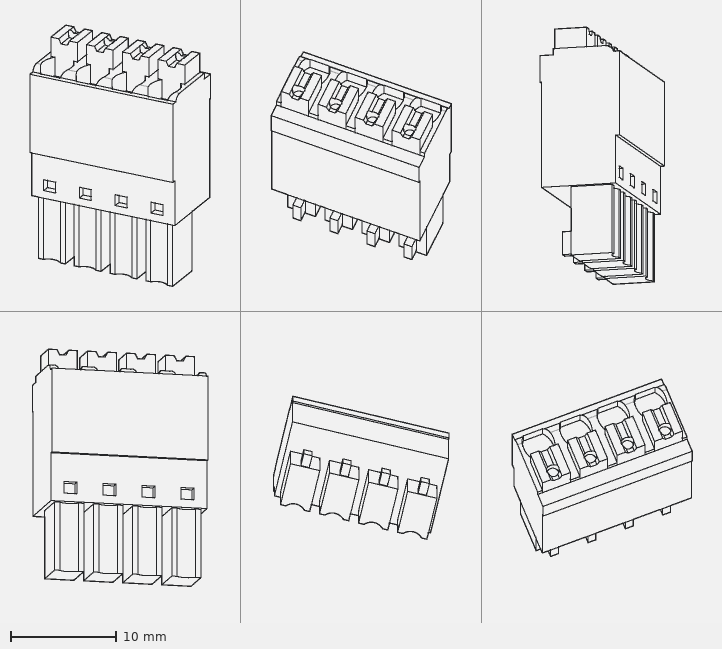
import cadquery as cq


POLE_COUNT = 4
WIDTH = 15.25
PITCH = WIDTH / POLE_COUNT
HEIGHT = 22.0

DEPTH = 7.9
HOUSING_BOTTOM = 6.62
FRONT_STEP_Z = 11.26
FRONT_STEP = 0.4
SHOULDER_Z = 19.4
FRONT_LEDGE = 0.6
CROWN_TOP = 20.0
CROWN_RADIUS = 0.8
BACK_LEDGE = 1.32
BACK_LIP = 0.15
BACK_LIP_Z = 16.83

ENTRY_END_WIDTH = 1.98
ENTRY_MIDDLE_WIDTH = 3.01
ENTRY_FRONT_Y = 0.55
ENTRY_FLOOR = 18.05

WINDOW_WIDTH = 1.25
WINDOW_HEIGHT = 1.12
WINDOW_BOTTOM = 7.41
WINDOW_DEPTH = 0.8

PRONG_WIDTH = 2.85
PRONG_FRONT_Y = 0.88
PRONG_DEPTH = 4.07
FLUTE_WIDTH = 1.8
FLUTE_DEPTH = 0.4
KEY_WIDTH = 0.81
KEY_DEPTH = 1.17
KEY_BOTTOM = 0.3
KEY_HEIGHT = 2.22

PUSHER_WIDTH = 2.84
PUSHER_DEPTH = 3.15
PUSHER_BACK_Y = DEPTH - BACK_LEDGE
PUSHER_FRONT_Y = PUSHER_BACK_Y - PUSHER_DEPTH
NOTCH_TOP_WIDTH = 1.15
NOTCH_FLOOR_WIDTH = 0.64
NOTCH_DEPTH = 0.48
PROBE_DIAMETER = 1.19
PROBE_CENTER_Y = 5.63
PROBE_DEPTH = 1.32

POLE_X = [(pole - (POLE_COUNT - 1) / 2) * PITCH for pole in range(POLE_COUNT)]


def block(x, width, y_front, y_back, z_bottom, z_top):
    """Box centred on x, between the given Y and Z limits."""
    return (
        cq.Workplane("XY", origin=(x, 0, z_bottom))
        .moveTo(0, (y_front + y_back) / 2)
        .rect(width, y_back - y_front)
        .extrude(z_top - z_bottom)
    )


def housing_shell():
    lower = block(0, WIDTH, FRONT_STEP, DEPTH - BACK_LIP, HOUSING_BOTTOM, SHOULDER_Z)
    front_band = block(0, WIDTH, 0, FRONT_STEP, FRONT_STEP_Z, SHOULDER_Z)
    back_lip = block(0, WIDTH, DEPTH - BACK_LIP, DEPTH, BACK_LIP_Z, SHOULDER_Z)
    return lower.union(front_band).union(back_lip).union(crown())


def crown():
    """Raised top of the housing, rounded along its front edge and sunk into the shoulder."""
    raised = block(0, WIDTH, FRONT_LEDGE, PUSHER_BACK_Y, ENTRY_FLOOR, CROWN_TOP)
    rounded = raised.faces(">Z").edges("<Y").fillet(CROWN_RADIUS)
    return rounded.intersect(block(0, WIDTH, 0, DEPTH, SHOULDER_Z, CROWN_TOP))


def wire_entry(x):
    """Barrel-shaped pocket, bowed at its sides and flat at its front and back."""
    middle_y = (ENTRY_FRONT_Y + PUSHER_FRONT_Y) / 2
    return (
        cq.Workplane("XY", origin=(x, 0, ENTRY_FLOOR))
        .moveTo(-ENTRY_END_WIDTH / 2, ENTRY_FRONT_Y)
        .lineTo(ENTRY_END_WIDTH / 2, ENTRY_FRONT_Y)
        .threePointArc((ENTRY_MIDDLE_WIDTH / 2, middle_y), (ENTRY_END_WIDTH / 2, PUSHER_FRONT_Y))
        .lineTo(-ENTRY_END_WIDTH / 2, PUSHER_FRONT_Y)
        .threePointArc((-ENTRY_MIDDLE_WIDTH / 2, middle_y), (-ENTRY_END_WIDTH / 2, ENTRY_FRONT_Y))
        .close()
        .extrude(CROWN_TOP - ENTRY_FLOOR)
    )


def pusher_seat(x):
    return block(x, PUSHER_WIDTH, PUSHER_FRONT_Y, PUSHER_BACK_Y, ENTRY_FLOOR, CROWN_TOP)


def test_window(x):
    return block(
        x,
        WINDOW_WIDTH,
        FRONT_STEP,
        FRONT_STEP + WINDOW_DEPTH,
        WINDOW_BOTTOM,
        WINDOW_BOTTOM + WINDOW_HEIGHT,
    )


def prong(x):
    """Plug prong with a concave flute down its front and a key on its back."""
    back_y = PRONG_FRONT_Y + PRONG_DEPTH
    body = block(x, PRONG_WIDTH, PRONG_FRONT_Y, back_y, 0, HOUSING_BOTTOM)
    flute = (
        cq.Workplane("XY", origin=(x, PRONG_FRONT_Y, 0))
        .moveTo(-FLUTE_WIDTH / 2, 0)
        .threePointArc((0, FLUTE_DEPTH), (FLUTE_WIDTH / 2, 0))
        .close()
        .extrude(HOUSING_BOTTOM)
    )
    key = block(x, KEY_WIDTH, back_y, back_y + KEY_DEPTH, KEY_BOTTOM, KEY_BOTTOM + KEY_HEIGHT)
    return body.cut(flute).union(key)


def make_housing():
    housing = housing_shell()
    for x in POLE_X:
        housing = housing.union(prong(x))
        housing = housing.cut(wire_entry(x))
        housing = housing.cut(pusher_seat(x))
        housing = housing.cut(test_window(x))
    return housing


def make_pusher(x):
    """Push block with a tapered notch along its top and a probe hole in the notch."""
    body = block(x, PUSHER_WIDTH, PUSHER_FRONT_Y, PUSHER_BACK_Y, ENTRY_FLOOR, HEIGHT)
    notch = (
        cq.Workplane("XZ", origin=(x, PUSHER_BACK_Y, HEIGHT))
        .polyline(
            [
                (-NOTCH_TOP_WIDTH / 2, 0),
                (NOTCH_TOP_WIDTH / 2, 0),
                (NOTCH_FLOOR_WIDTH / 2, -NOTCH_DEPTH),
                (-NOTCH_FLOOR_WIDTH / 2, -NOTCH_DEPTH),
            ]
        )
        .close()
        .extrude(PUSHER_DEPTH)
    )
    probe_hole = (
        cq.Workplane("XY", origin=(x, PROBE_CENTER_Y, HEIGHT))
        .circle(PROBE_DIAMETER / 2)
        .extrude(-PROBE_DEPTH)
    )
    return body.cut(notch).cut(probe_hole)


housing = make_housing()
pushers = [make_pusher(x) for x in POLE_X]

result = cq.Compound.makeCompound([housing.val(), *[pusher.val() for pusher in pushers]])